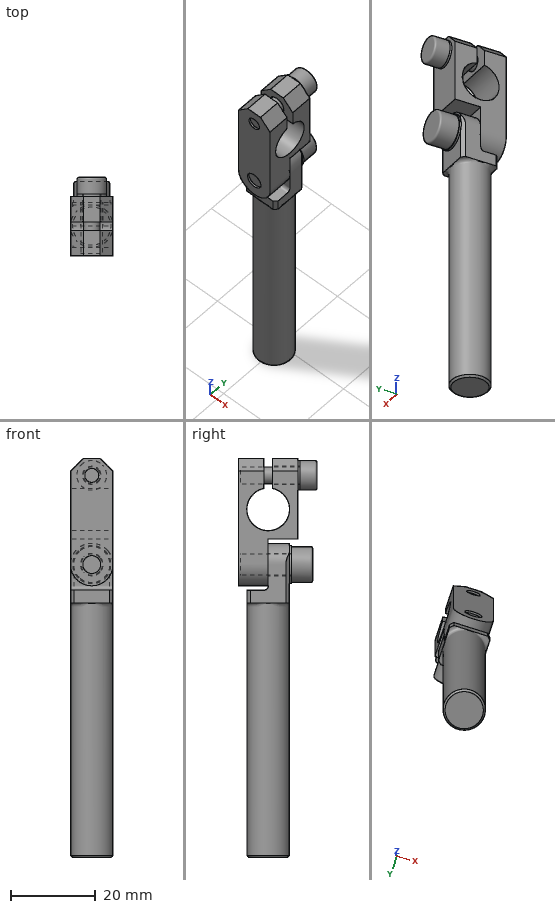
import cadquery as cq


lug_width = 10.0
rod_undersize = 0.005
rod_diameter = lug_width - rod_undersize
rod_length = 60.0
rod_end_chamfer = 0.5
lug_floor_thickness = 3.0
lug_blank_diameter = 13.0
lug_floor_fillet = 1.0
rod_root_fillet = 1.0

clamp_width = 10.0
clamp_depth = 14.0
clamp_bore_diameter = 10.0
clamp_slit_width = 2.0
clamp_top_chamfer = 3.0
clamp_underside_to_pivot = 6.0
bore_to_pivot = 13.0
clamp_screw_to_bore = 8.0
clamp_screw_to_top = 4.0
clamp_floor_gap = 1.0

washer_thickness = 0.5
head_edge_fillet = 0.5
screw_tip_recess = 0.5

clamp_screw_diameter = 4.0
clamp_screw_clearance = 4.3
clamp_screw_tip_bore = 3.3
clamp_screw_head_diameter = 7.0
clamp_screw_head_height = 4.0
clamp_washer_diameter = 7.0

pivot_screw_diameter = 5.0
pivot_screw_clearance = 5.3
pivot_screw_tip_bore = 4.2
pivot_screw_head_diameter = 8.5
pivot_screw_head_height = 5.0
pivot_washer_diameter = 9.0

lug_half = lug_width / 2
clamp_front = -clamp_depth / 2
clamp_back = clamp_depth / 2
lug_back = lug_half
lug_floor = rod_length + lug_floor_thickness
pivot_height = lug_floor + clamp_floor_gap + clamp_width / 2
bore_height = pivot_height + bore_to_pivot
clamp_screw_height = bore_height + clamp_screw_to_bore
clamp_top = clamp_screw_height + clamp_screw_to_top
clamp_underside = pivot_height + clamp_underside_to_pivot
screw_tip = clamp_front + screw_tip_recess


def box(x_size, y_from, y_to, z_from, z_to):
    """Block centred on X between the given Y and Z limits."""
    return (
        cq.Workplane("XY")
        .box(x_size, y_to - y_from, z_to - z_from, centered=(True, False, False))
        .translate((0, y_from, z_from))
    )


def cylinder_along_y(diameter, y_from, y_to, height):
    """Cylinder parallel to Y, with its axis at X = 0 and Z = height."""
    return (
        cq.Workplane("XZ", origin=(0, y_from, height))
        .circle(diameter / 2)
        .extrude(y_from - y_to)
    )


def make_lug():
    """Square block with corners cut by a round blank, and an ear rounded about the pivot."""
    block = box(lug_width, -lug_half, lug_half, rod_length, pivot_height + lug_half)
    blank = cq.Workplane("XY").circle(lug_blank_diameter / 2).extrude(pivot_height + lug_half)
    block = block.intersect(blank)

    tongue_space = box(lug_width, -lug_half, 0, lug_floor, pivot_height + lug_half)
    tongue_space = tongue_space.edges("|X and >Y and <Z").fillet(lug_floor_fillet)

    ear_round = cylinder_along_y(lug_width, -lug_half, lug_half, pivot_height)
    below_pivot = box(lug_width, -lug_half, lug_half, rod_length, pivot_height)
    return block.cut(tongue_space).intersect(below_pivot.union(ear_round))


def make_rod():
    """Round rod and lug in one piece, with the pivot screw's clearance hole."""
    shaft = cq.Workplane("XY").circle(rod_diameter / 2).extrude(rod_length)
    shaft = shaft.faces("<Z").chamfer(rod_end_chamfer)
    pivot_hole = cylinder_along_y(pivot_screw_clearance, 0, lug_back, pivot_height)
    body = shaft.union(make_lug()).cut(pivot_hole)

    root_edges = (
        body.faces("|Z")
        .faces(cq.selectors.NearestToPointSelector((0, 0, rod_length)))
        .edges(cq.selectors.RadiusNthSelector(0))
    )
    return root_edges.fillet(rod_root_fillet)


def make_clamp():
    """Split clamp with a cross bore and a round-ended tongue at the pivot."""
    body = box(clamp_width, clamp_front, clamp_back, clamp_underside, clamp_top)
    body = body.edges("|Y and >Z").chamfer(clamp_top_chamfer)
    tongue = box(clamp_width, clamp_front, 0, pivot_height, clamp_underside)
    tongue_end = cylinder_along_y(clamp_width, clamp_front, 0, pivot_height)
    body = body.union(tongue).union(tongue_end)

    bore = (
        cq.Workplane("YZ", origin=(-clamp_width / 2, 0, 0))
        .center(0, bore_height)
        .circle(clamp_bore_diameter / 2)
        .extrude(clamp_width)
    )
    slit = box(clamp_width, -clamp_slit_width / 2, clamp_slit_width / 2, bore_height, clamp_top)
    body = body.cut(bore).cut(slit)

    clearance = cylinder_along_y(clamp_screw_clearance, 0, clamp_back, clamp_screw_height)
    clamp_thread = cylinder_along_y(clamp_screw_diameter, screw_tip, 0, clamp_screw_height)
    clamp_tip = cylinder_along_y(clamp_screw_tip_bore, clamp_front, screw_tip, clamp_screw_height)
    pivot_thread = cylinder_along_y(pivot_screw_diameter, screw_tip, 0, pivot_height)
    pivot_tip = cylinder_along_y(pivot_screw_tip_bore, clamp_front, screw_tip, pivot_height)
    for hole in (clearance, clamp_thread, clamp_tip, pivot_thread, pivot_tip):
        body = body.cut(hole)
    return body


def make_screw(diameter, head_diameter, head_height, seat, height):
    """Cap screw along Y; its head rests on a washer that lies on the seat."""
    head_base = seat + washer_thickness
    head = cylinder_along_y(head_diameter, head_base, head_base + head_height, height)
    head = head.faces(">Y").edges().fillet(head_edge_fillet)
    return head.union(cylinder_along_y(diameter, screw_tip, head_base, height))


def make_washer(diameter, bore, seat, height):
    """Flat washer lying on the seat, around a screw along Y."""
    disc = cylinder_along_y(diameter, seat, seat + washer_thickness, height)
    return disc.cut(cylinder_along_y(bore, seat, seat + washer_thickness, height))


rod = make_rod()
clamp = make_clamp()
clamp_screw = make_screw(
    clamp_screw_diameter, clamp_screw_head_diameter, clamp_screw_head_height,
    clamp_back, clamp_screw_height,
)
clamp_washer = make_washer(
    clamp_washer_diameter, clamp_screw_clearance, clamp_back, clamp_screw_height,
)
pivot_screw = make_screw(
    pivot_screw_diameter, pivot_screw_head_diameter, pivot_screw_head_height,
    lug_back, pivot_height,
)
pivot_washer = make_washer(
    pivot_washer_diameter, pivot_screw_clearance, lug_back, pivot_height,
)

result = cq.Compound.makeCompound([
    rod.val(),
    clamp.val(),
    clamp_screw.val(),
    clamp_washer.val(),
    pivot_screw.val(),
    pivot_washer.val(),
])